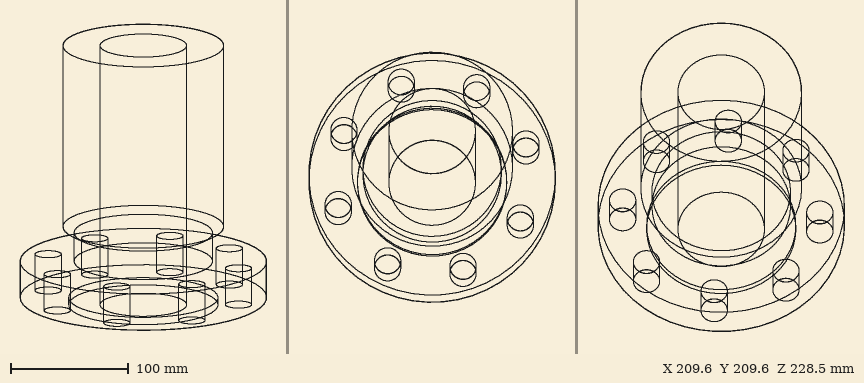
import cadquery as cq

total_height = 228.5
bore_diameter = 73.5

flange_diameter = 209.6
flange_thickness = 32.0
face_diameter = 126.9
face_height = 6.5

neck_diameter = 117.7
neck_top = 63.5
barrel_diameter = 136.7
barrel_bottom = 68.8

bolt_count = 8
bolt_circle_diameter = 168.0
bolt_hole_diameter = 22.5

flange_top = face_height + flange_thickness


def turned_body():
    """Revolve the half profile of the raised face, flange, neck, cone and barrel about Z."""
    bore_radius = bore_diameter / 2
    face_radius = face_diameter / 2
    flange_radius = flange_diameter / 2
    neck_radius = neck_diameter / 2
    barrel_radius = barrel_diameter / 2
    profile = [
        (bore_radius, 0),
        (face_radius, 0),
        (face_radius, face_height),
        (flange_radius, face_height),
        (flange_radius, flange_top),
        (neck_radius, flange_top),
        (neck_radius, neck_top),
        (barrel_radius, barrel_bottom),
        (barrel_radius, total_height),
        (bore_radius, total_height),
    ]
    return cq.Workplane("XZ").polyline(profile).close().revolve(360, (0, 0, 0), (0, 1, 0))


def bolt_holes():
    """Cylinders through the flange, the first one on the +X axis."""
    return (
        cq.Workplane("XY")
        .polarArray(bolt_circle_diameter / 2, 0, 360, bolt_count)
        .circle(bolt_hole_diameter / 2)
        .extrude(flange_top)
    )


result = turned_body().cut(bolt_holes())